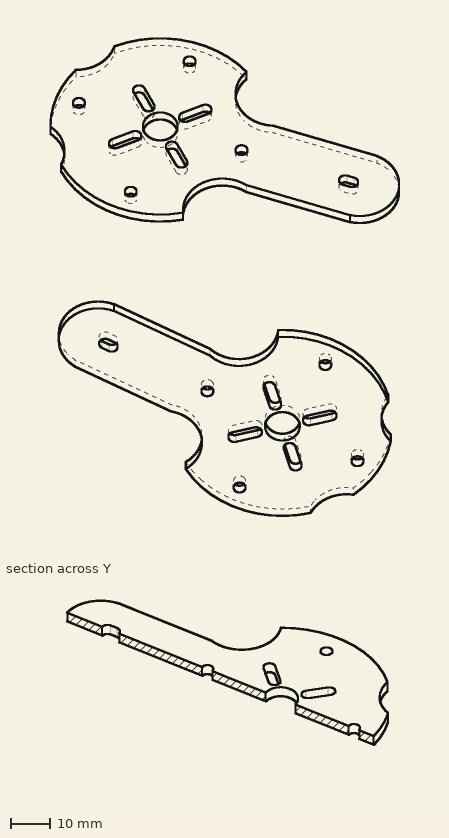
import cadquery as cq
import math

thickness = 3.0
disc_diameter = 55.9
overall_length = 92.0
disc_radius = disc_diameter / 2

arm_width = 20.1
arm_start_x = -25.0
arm_radius = arm_width / 2
arm_end_x = overall_length - disc_radius - arm_radius
bar_end_x = 55.0

notch_radius = 10.0
arm_side_notch_center = (23.9, 19.6)
far_side_notch_center = (-29.6, 19.0)

center_hole_diameter = 8.8
screw_hole_diameter = 3.0
screw_circle_radius = 22.0

slot_width = screw_hole_diameter
slot_inner_radius = 7.0
slot_outer_radius = 12.7
slot_angles = (45, 135, 225, 315)

end_slot_length = 5.0
end_slot_center_x = 51.0


def disc(radius, center):
    return cq.Workplane("XY").center(*center).circle(radius).extrude(thickness)


def plate_blank():
    bar_length = bar_end_x - arm_start_x
    bar = (
        cq.Workplane("XY")
        .center(arm_start_x + bar_length / 2, 0)
        .rect(bar_length, arm_width)
        .extrude(thickness)
    )
    rounded_end = disc(arm_radius, (arm_end_x, 0))
    return disc(disc_radius, (0, 0)).union(bar).union(rounded_end)


def rim_notches():
    notches = cq.Workplane("XY")
    for x, y in (arm_side_notch_center, far_side_notch_center):
        for side in (1, -1):
            notches = notches.union(disc(notch_radius, (x, side * y)))
    return notches


def round_holes():
    center_hole = disc(center_hole_diameter / 2, (0, 0))
    screw_holes = (
        cq.Workplane("XY")
        .polarArray(screw_circle_radius, 0, 360, 4)
        .circle(screw_hole_diameter / 2)
        .extrude(thickness)
    )
    return center_hole.union(screw_holes)


def slots():
    end_slot = (
        cq.Workplane("XY")
        .center(end_slot_center_x, 0)
        .slot2D(end_slot_length, slot_width)
        .extrude(thickness)
    )
    slot_length = slot_outer_radius - slot_inner_radius + slot_width
    slot_middle_radius = (slot_inner_radius + slot_outer_radius) / 2
    all_slots = end_slot
    for angle in slot_angles:
        direction = math.radians(angle)
        center = (slot_middle_radius * math.cos(direction), slot_middle_radius * math.sin(direction))
        diagonal_slot = cq.Workplane("XY").center(*center).slot2D(slot_length, slot_width, angle)
        all_slots = all_slots.union(diagonal_slot.extrude(thickness))
    return all_slots


result = plate_blank().cut(rim_notches()).cut(round_holes()).cut(slots())